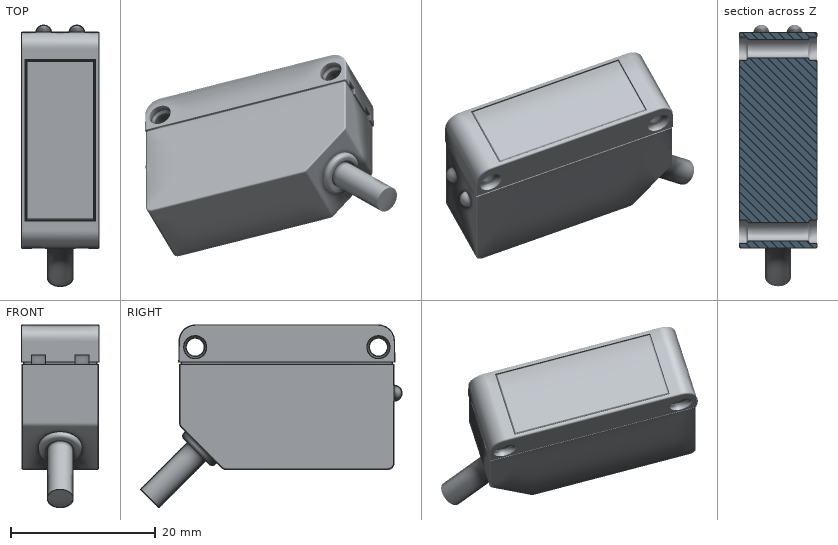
import cadquery as cq
import math


overall_length = 36.25

housing_width = 10.6
housing_length = 29.7
housing_height = 14.57
cable_chamfer = 6.1
corner_radius = 0.9
side_edge_radius = 0.2

dome_diameter = 2.2
dome_spacing = 4.6
dome_z = 10.6

cover_width = 10.8
cover_length = 29.97
cover_top = 20.05
cover_bottom = 14.9
cover_radius = 2.3
cover_draft = 1.0
lip_inset = 0.2

hole_diameter = 2.5
counterbore_diameter = 3.2
counterbore_depth = 1.0
step_length = 0.25
hole_spacing = 25.4
hole_z = 16.95

notch_width = 1.95
notch_spacing = 6.0
notch_top = 15.87
notch_depth = 0.5

pocket_width = 9.7
pocket_length = 22.4
pocket_depth = 0.5
window_gap = 0.1
window_chamfer = 0.15

cable_diameter = 3.6
cable_end_z = -4.02
grommet_diameter = 6.1
grommet_height = 0.87
grommet_rim_radius = 0.5

cable_end_reach = cable_diameter / 2 / math.sqrt(2)
cable_end_y = housing_length / 2 + dome_diameter / 2 - overall_length + cable_end_reach

chamfer_y_plus_z = cable_chamfer - housing_length / 2
cable_length = (chamfer_y_plus_z - cable_end_y - cable_end_z) / math.sqrt(2)
cable_run = cable_length / math.sqrt(2)
cable_plane = cq.Plane(
    origin=(0, cable_end_y + cable_run, cable_end_z + cable_run),
    xDir=(1, 0, 0),
    normal=(0, -1, -1),
)


def block(width, length, z_bottom, z_top):
    """Box centred on X and Y between two heights."""
    return cq.Workplane("XY").workplane(offset=z_bottom).rect(width, length).extrude(z_top - z_bottom)


def side_profile(points, width):
    """Closed (y, z) outline extruded across the width, centred on X."""
    return cq.Workplane("YZ").polyline(points).close().extrude(width / 2, both=True)


def make_housing():
    half_length = housing_length / 2
    body = side_profile(
        [
            (half_length, 0),
            (half_length, housing_height),
            (-half_length, housing_height),
            (-half_length, cable_chamfer),
            (cable_chamfer - half_length, 0),
        ],
        housing_width,
    )
    lower_corners = cq.selectors.BoxSelector(
        (-housing_width, -housing_length, -corner_radius),
        (housing_width, housing_length, cable_chamfer + corner_radius),
    )
    body = body.edges("|X").edges(lower_corners).fillet(corner_radius)
    body = body.faces("<X or >X").edges("not(>Z)").fillet(side_edge_radius)
    for x in (-dome_spacing / 2, dome_spacing / 2):
        dome = cq.Workplane("XY").sphere(dome_diameter / 2).translate((x, half_length, dome_z))
        body = body.union(dome)
    return body


def make_cover():
    half_length = cover_length / 2
    half_top = half_length - (cover_top - cover_bottom) * math.tan(math.radians(cover_draft))
    cover = side_profile(
        [
            (half_length, cover_bottom),
            (half_top, cover_top),
            (-half_top, cover_top),
            (-half_length, cover_bottom),
        ],
        cover_width,
    )
    cover = cover.edges("|X and >Z").fillet(cover_radius)
    cover = cover.faces("<X or >X").edges("not(<Z)").fillet(side_edge_radius)

    lip = block(
        housing_width - 2 * lip_inset, housing_length - 2 * lip_inset, housing_height, cover_bottom
    )
    cover = cover.union(lip)
    cover = cover.cut(block(pocket_width, pocket_length, cover_top - pocket_depth, cover_top))
    return cut_notches(cut_mounting_holes(cover))


def make_mounting_hole():
    """Cutter along X: a hole that widens through a short cone to a counterbore at each side."""
    half_width = cover_width / 2
    counterbore_floor = half_width - counterbore_depth
    hole_end = counterbore_floor - step_length
    half_outline = [
        (0, 0),
        (half_width, 0),
        (half_width, counterbore_diameter / 2),
        (counterbore_floor, counterbore_diameter / 2),
        (hole_end, hole_diameter / 2),
        (0, hole_diameter / 2),
    ]
    half_hole = cq.Workplane("XZ").polyline(half_outline).close().revolve(360, (0, 0), (1, 0))
    return half_hole.union(half_hole.mirror("YZ"))


def cut_mounting_holes(cover):
    mounting_hole = make_mounting_hole()
    for y in (-hole_spacing / 2, hole_spacing / 2):
        cover = cover.cut(mounting_hole.translate((0, y, hole_z)))
    return cover


def cut_notches(cover):
    for x in (-notch_spacing / 2, notch_spacing / 2):
        notch = block(notch_width, 2 * notch_depth, housing_height, notch_top)
        cover = cover.cut(notch.translate((x, -cover_length / 2, 0)))
    return cover


def make_window():
    width = pocket_width - 2 * window_gap
    length = pocket_length - 2 * window_gap
    window = block(width, length, cover_top - pocket_depth, cover_top)
    return window.faces(">Z").chamfer(window_chamfer)


def make_grommet():
    """Collar on the chamfered corner, rounded outside and towards the cable."""
    collar = cq.Workplane(cable_plane).circle(grommet_diameter / 2).circle(cable_diameter / 2)
    collar = collar.extrude(grommet_height)
    rim_face = collar.faces(cq.selectors.DirectionMinMaxSelector(cable_plane.zDir))
    return rim_face.edges().fillet(grommet_rim_radius)


def make_cable():
    return cq.Workplane(cable_plane).circle(cable_diameter / 2).extrude(cable_length)


housing = make_housing()
cover = make_cover()
window = make_window()
grommet = make_grommet()
cable = make_cable()

result = cq.Compound.makeCompound(
    [*housing.solids().vals(), *cover.solids().vals(), window.val(), grommet.val(), cable.val()]
)